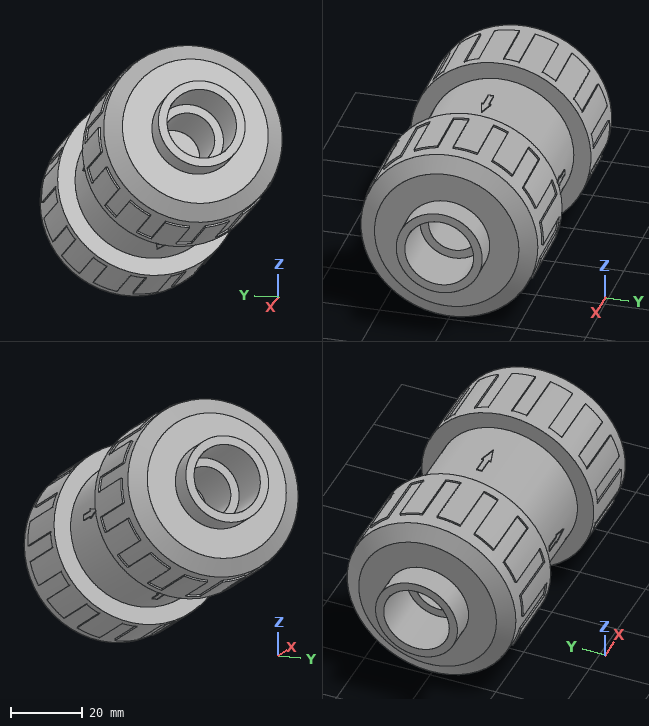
import cadquery as cq
import math


full_turn = 360.0

half_length = 49.75
nut_outer_end = 41.85
nut_chamfer_start = 39.1
grip_outer_end = 35.0
grip_gap_end = 18.1
nut_inner_end = 15.3

body_radius = 21.25
pipe_radius = 12.5
socket_radius = 10.0
bore_radius = 7.5
nut_radius = 25.75
nut_grip_radius = 26.25
nut_end_radius = 21.0

socket_depth = 16.0
bore_depth = half_length - nut_inner_end

tooth_count = 14
gap_angle = 10.0
tooth_pitch = full_turn / tooth_count

arrow_count = 4
arrow_half_length = 5.0
arrow_shaft_half_width = 0.8
arrow_head_half_width = 1.4
arrow_height = 0.25
arrow_root = body_radius / 2

clearance = 1.0


def cylinder_x(radius, start, end):
    """Solid cylinder on the X axis between two X positions."""
    return cq.Workplane("YZ").workplane(offset=start).circle(radius).extrude(end - start)


def nut_core():
    """Smooth nut on the +X side with a chamfered outer end."""
    profile = [
        (nut_inner_end, 0),
        (nut_inner_end, nut_radius),
        (nut_chamfer_start, nut_radius),
        (nut_outer_end, nut_end_radius),
        (nut_outer_end, 0),
    ]
    return cq.Workplane("XY").polyline(profile).close().revolve(full_turn, (0, 0, 0), (1, 0, 0))


def gap_wedge():
    """Wedge that clears one grip gap, with one side wall at the top and the other toward -Y."""
    far_height = nut_grip_radius + clearance
    far_width = far_height * math.tan(math.radians(gap_angle))
    wedge = (
        cq.Workplane("YZ")
        .workplane(offset=grip_gap_end)
        .polyline([(0, 0), (0, far_height), (-far_width, far_height)])
        .close()
    )
    return wedge.extrude(grip_outer_end - grip_gap_end + clearance)


def grip_band():
    """Ring around the nut, cut into grip teeth that are open toward the outer end."""
    band = cylinder_x(nut_grip_radius, nut_inner_end, grip_outer_end)
    band = band.cut(cylinder_x(body_radius, nut_inner_end, grip_outer_end))
    wedge = gap_wedge()
    for index in range(tooth_count):
        band = band.cut(wedge.rotate((0, 0, 0), (1, 0, 0), index * tooth_pitch))
    return band


def union_nut():
    """Nut on the +X side with its grip teeth."""
    return nut_core().union(grip_band())


def stepped_bore():
    """Pipe socket and narrower bore entering from the +X end."""
    socket = cylinder_x(socket_radius, half_length - socket_depth, half_length)
    bore = cylinder_x(bore_radius, half_length - bore_depth, half_length)
    return socket.union(bore)


def flow_arrow():
    """Arrow on top of the body pointing to +X, standing just proud of the body surface."""
    outline = [
        (-arrow_half_length, -arrow_shaft_half_width),
        (0, -arrow_shaft_half_width),
        (0, -arrow_head_half_width),
        (arrow_half_length, 0),
        (0, arrow_head_half_width),
        (0, arrow_shaft_half_width),
        (-arrow_half_length, arrow_shaft_half_width),
    ]
    base = cq.Workplane("XY").workplane(offset=arrow_root)
    prism = base.polyline(outline).close().extrude(body_radius + arrow_height + clearance - arrow_root)
    skin = cylinder_x(body_radius + arrow_height, -arrow_half_length, arrow_half_length)
    return prism.intersect(skin)


def opposite_end(shape):
    """The same shape turned half a revolution about Z, onto the -X side."""
    return shape.rotate((0, 0, 0), (0, 0, 1), full_turn / 2)


def marked_body():
    """Valve body between the nuts with flow arrows spaced evenly around it."""
    body = cylinder_x(body_radius, -nut_inner_end, nut_inner_end)
    arrow = flow_arrow()
    for index in range(arrow_count):
        body = body.union(arrow.rotate((0, 0, 0), (1, 0, 0), index * full_turn / arrow_count))
    return body


def valve_end():
    """Union nut, pipe stub and stepped bore of the +X end, with the inner face flush on the body."""
    stub = cylinder_x(pipe_radius, nut_inner_end, half_length)
    return union_nut().union(stub).cut(stepped_bore())


end = valve_end()
result = marked_body().union(end).union(opposite_end(end))